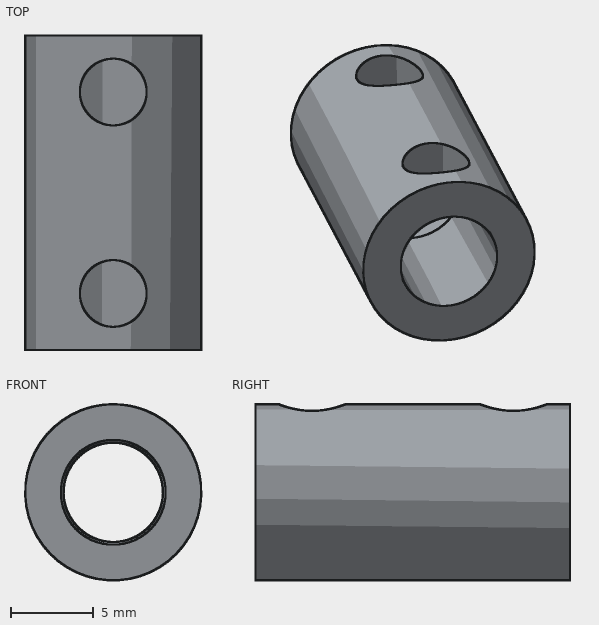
import cadquery as cq
import math

length = 19.05
outer_diameter = 10.67
front_bore_diameter = 6.35
rear_bore_diameter = 6.0
drill_tip_angle = 118
screw_hole_diameter = 4.04
screw_hole_inset = 3.43

outer_radius = outer_diameter / 2
front_bore_radius = front_bore_diameter / 2
rear_bore_radius = rear_bore_diameter / 2
front_y = -length / 2
rear_y = length / 2

cone_start_y = 0
cone_half_angle = math.radians(drill_tip_angle / 2)
cone_length = (front_bore_radius - rear_bore_radius) / math.tan(cone_half_angle)


def stepped_sleeve():
    """Wall section in the YZ plane, revolved about the Y axis."""
    wall_section = [
        (front_y, front_bore_radius),
        (front_y, outer_radius),
        (rear_y, outer_radius),
        (rear_y, rear_bore_radius),
        (cone_start_y + cone_length, rear_bore_radius),
        (cone_start_y, front_bore_radius),
    ]
    return (
        cq.Workplane("YZ")
        .polyline(wall_section)
        .close()
        .revolve(360, (0, 0), (1, 0))
    )


def screw_hole(y):
    """Radial hole through the +Z wall only, from the axis outward."""
    return (
        cq.Workplane("XY")
        .center(0, y)
        .circle(screw_hole_diameter / 2)
        .extrude(outer_radius)
    )


result = stepped_sleeve()
for hole_y in (front_y + screw_hole_inset, rear_y - screw_hole_inset):
    result = result.cut(screw_hole(hole_y))